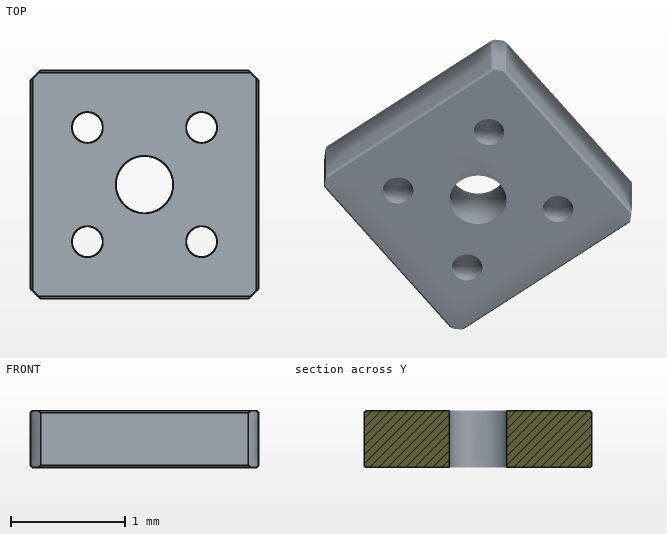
import cadquery as cq

side = 2.0
thickness = side / 4
corner_chamfer = 0.09
rim_chamfer = 0.02

center_hole_diameter = side / 4
corner_hole_diameter = 0.268
corner_hole_spacing = side / 2

plate = cq.Workplane("XY").box(side, side, thickness)
plate = plate.faces("<Z or >Z").edges().chamfer(rim_chamfer)

corner_envelope = cq.Workplane("XY").box(side, side, thickness).edges("|Z").chamfer(corner_chamfer)
plate = plate.intersect(corner_envelope)

plate = plate.faces(">Z").workplane(origin=(0, 0, 0)).hole(center_hole_diameter)

result = (
    plate.faces(">Z")
    .workplane(origin=(0, 0, 0))
    .rarray(corner_hole_spacing, corner_hole_spacing, 2, 2)
    .hole(corner_hole_diameter)
)